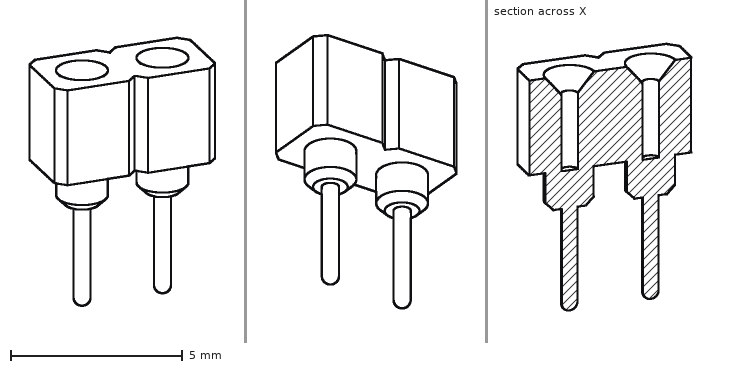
import cadquery as cq
import math

pitch = 2.54
contact_count = 2
body_height = 3.0
corner_chamfer = 0.3
collar_diameter = 1.52
collar_height = 1.2
collar_chamfer = 0.25
pin_diameter = 0.51
pin_length = 3.23
funnel_depth = 0.6
socket_depth = body_height

collar_radius = collar_diameter / 2
pin_radius = pin_diameter / 2
collar_bottom = -collar_height
pin_tip = collar_bottom - pin_length
pin_round_start = pin_tip + pin_radius
contact_centres = [(i - (contact_count - 1) / 2) * pitch for i in range(contact_count)]


def body_cell(y):
    """One square block of the housing with chamfered vertical edges."""
    block = cq.Workplane("XY").box(pitch, pitch, body_height, centered=(True, True, False))
    return block.edges("|Z").chamfer(corner_chamfer).translate((0, y, 0))


def contact(y):
    """Chamfered collar and round-ended pin below the housing, overlapping into it."""
    overlap = body_height / 2
    tip_offset = pin_radius * math.sin(math.radians(45))
    profile = (
        cq.Workplane("XZ")
        .moveTo(0, overlap)
        .lineTo(collar_radius, overlap)
        .lineTo(collar_radius, collar_bottom + collar_chamfer)
        .lineTo(collar_radius - collar_chamfer, collar_bottom)
        .lineTo(pin_radius, collar_bottom)
        .lineTo(pin_radius, pin_round_start)
        .threePointArc((tip_offset, pin_round_start - tip_offset), (0, pin_tip))
        .close()
    )
    return profile.revolve(360, (0, 0, 0), (0, 1, 0)).translate((0, y, 0))


def socket(y):
    """Conical lead-in and blind hole, as wide as the pin, sunk into the top of the housing."""
    profile = (
        cq.Workplane("XZ")
        .moveTo(0, body_height)
        .lineTo(collar_radius, body_height)
        .lineTo(pin_radius, body_height - funnel_depth)
        .lineTo(pin_radius, body_height - socket_depth)
        .lineTo(0, body_height - socket_depth)
        .close()
    )
    return profile.revolve(360, (0, 0, 0), (0, 1, 0)).translate((0, y, 0))


result = cq.Workplane("XY")
for centre in contact_centres:
    result = result.union(body_cell(centre)).union(contact(centre))
for centre in contact_centres:
    result = result.cut(socket(centre))